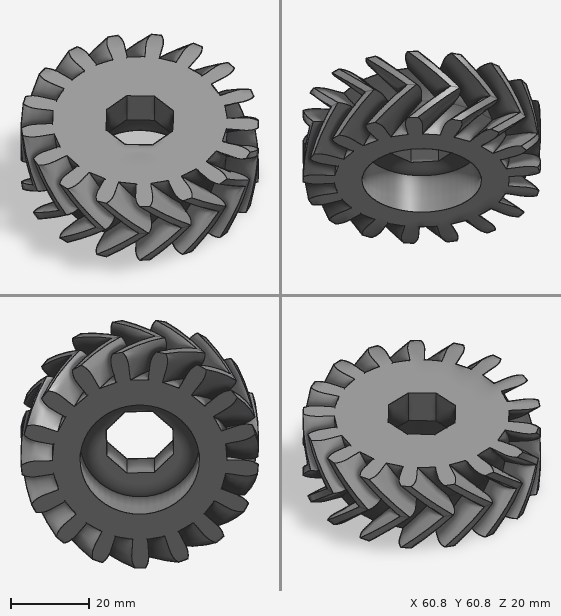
import cadquery as cq
import math

tooth_count = 17
tip_radius = 30.4
gear_height = 20.0
half_height = gear_height / 2
half_twist = 20.6

flank_root = (22.3, 1.9)
flank_widest = (26.75, 2.2)
flank_crown = (28.7, 2.0)
tip_half_thickness = 1.3
flank_tip = (math.sqrt(tip_radius**2 - tip_half_thickness**2), tip_half_thickness)
flank = [flank_root, flank_widest, flank_crown, flank_tip]

bore_sides = 8
bore_corner_radius = 9.25
bore_depth = 9.0
recess_diameter = 30.5
recess_depth = gear_height - bore_depth


def rotated(point, angle, side=1):
    """Turn a tooth point by an angle in degrees; side -1 takes the opposite flank."""
    x, y = point[0], side * point[1]
    c, s = math.cos(math.radians(angle)), math.sin(math.radians(angle))
    return (x * c - y * s, x * s + y * c)


def gear_profile():
    """Outline of all teeth, with the first tooth centred on the X axis."""
    pitch_angle = 360 / tooth_count
    outline = cq.Workplane("XY").moveTo(*rotated(flank_root, 0, -1))
    for tooth in range(tooth_count):
        angle = tooth * pitch_angle
        rising_flank = [rotated(point, angle, -1) for point in flank[1:]]
        falling_flank = [rotated(point, angle) for point in reversed(flank[:-1])]
        outline = outline.spline(rising_flank, includeCurrent=True)
        outline = outline.threePointArc(rotated((tip_radius, 0), angle), rotated(flank_tip, angle))
        outline = outline.spline(falling_flank, includeCurrent=True)
        if tooth < tooth_count - 1:
            outline = outline.lineTo(*rotated(flank_root, angle + pitch_angle, -1))
    return outline.close()


def herringbone_blank():
    """Two mirrored helical halves meeting at the middle plane."""
    lower = gear_profile().twistExtrude(half_height, half_twist)
    upper = lower.mirror("XY", (0, 0, half_height))
    return lower.union(upper)


def shaft_opening():
    """Octagonal bore from the top, with the round recess below it."""
    bore = (
        cq.Workplane("XY")
        .workplane(offset=recess_depth)
        .polygon(bore_sides, 2 * bore_corner_radius)
        .extrude(bore_depth)
    )
    recess = cq.Workplane("XY").circle(recess_diameter / 2).extrude(recess_depth)
    return bore.union(recess)


result = herringbone_blank().cut(shaft_opening())